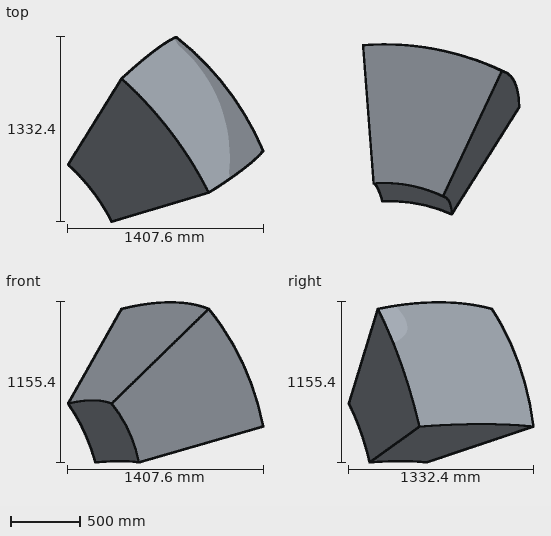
import cadquery as cq
import math

outer_radius = 2000.0
inner_radius = outer_radius / 2

azimuth = 37.4
width_angle = 30.0
upper_elevation = 45.0
lower_corner_elevation = 15.0

pyramid_edge = 1.5 * outer_radius

half_width = math.radians(width_angle / 2)
upper_height = math.sin(math.radians(upper_elevation)) * math.cos(half_width)
lower_height = math.sin(math.radians(lower_corner_elevation))


def pyramid_corner(height, side):
    """Pyramid base corner for a unit-sphere height; side is +1 (towards +Y) or -1."""
    horizontal = math.sqrt(1 - height**2)
    half_span = math.asin(math.sin(half_width) / horizontal)
    angle = math.radians(azimuth) + side * half_span
    direction = cq.Vector(horizontal * math.cos(angle), horizontal * math.sin(angle), height)
    return direction * pyramid_edge


def flat_face(points):
    return cq.Face.makeFromWires(cq.Wire.makePolygon(points, close=True))


def cutting_pyramid():
    """Four-sided pyramid with its tip at the sphere centre."""
    tip = cq.Vector(0, 0, 0)
    corners = [
        pyramid_corner(upper_height, 1),
        pyramid_corner(upper_height, -1),
        pyramid_corner(lower_height, -1),
        pyramid_corner(lower_height, 1),
    ]
    faces = [flat_face(corners)]
    for index, corner in enumerate(corners):
        faces.append(flat_face([tip, corners[index - 1], corner]))
    return cq.Solid.makeSolid(cq.Shell.makeShell(faces))


outer_sphere = cq.Workplane("XY").sphere(outer_radius)
inner_sphere = cq.Workplane("XY").sphere(inner_radius)
result = cq.Workplane(obj=cutting_pyramid()).intersect(outer_sphere).cut(inner_sphere)